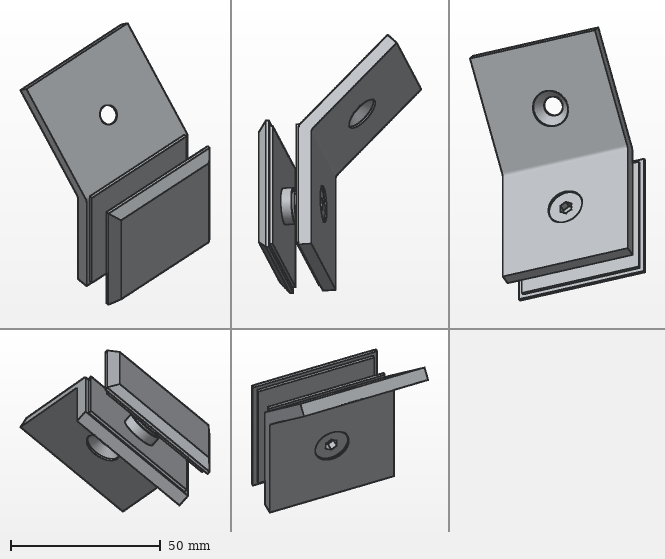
import cadquery as cq
import math


overall_height = 72.7
plate_size = 45.0
glass_gap = 8.0

bracket_thickness = 4.35
bracket_bottom_lift = 0.15
flap_length = 42.8
flap_angle = 45.0
bend_radius = 2.0
flap_hole_from_tip = plate_size / 2

cover_thickness = 4.0
cover_rim_thickness = 1.0
boss_diameter = 10.5

gasket_size = 42.0
gasket_thickness = 1.0
sleeve_diameter = 12.2
sleeve_gap = 1.0

head_diameter = 12.15
countersink_lip = 0.8
head_recess = 0.6
clearance_diameter = 6.5
screw_diameter = 5.95
hex_across_flats = 4.0
hex_depth = 2.9

lean = math.radians(flap_angle)
bracket_back = -bracket_thickness
bracket_bottom = bracket_bottom_lift - plate_size / 2
bend_height = overall_height - plate_size / 2 - flap_length * math.cos(lean)
inner_bend_height = bend_height - bracket_thickness * math.tan(lean / 2)
sleeve_length = (glass_gap - sleeve_gap) / 2
cover_face = 2 * gasket_thickness + glass_gap
cover_bevel = cover_thickness - cover_rim_thickness
cone_depth = (head_diameter - clearance_diameter) / 2

flap_x, flap_z = -math.sin(lean), math.cos(lean)
normal_x, normal_z = -math.cos(lean), -math.sin(lean)


def rod(diameter, start_x, length):
    """Cylinder on the X axis."""
    return cq.Workplane("YZ", origin=(start_x, 0, 0)).circle(diameter / 2).extrude(length)


def countersunk_hole(mouth, inward):
    """Cutter through one bracket wall: lip, cone and clearance hole, starting at the mouth centre."""
    mouth_radius = head_diameter / 2
    hole_radius = clearance_diameter / 2
    cone_end = countersink_lip + cone_depth
    profile = [
        (0, 0),
        (mouth_radius, 0),
        (mouth_radius, countersink_lip),
        (hole_radius, cone_end),
        (hole_radius, bracket_thickness),
        (0, bracket_thickness),
    ]
    across = cq.Vector(0, 1, 0)
    side_plane = cq.Plane(origin=mouth, xDir=across, normal=across.cross(cq.Vector(inward)))
    return cq.Workplane(side_plane).polyline(profile).close().revolve(360, (0, 0, 0), (0, 1, 0))


def make_bracket():
    tip_x = flap_length * flap_x
    tip_z = bend_height + flap_length * flap_z
    outline = [
        (0, bracket_bottom),
        (0, bend_height),
        (tip_x, tip_z),
        (tip_x + bracket_thickness * normal_x, tip_z + bracket_thickness * normal_z),
        (bracket_back, inner_bend_height),
        (bracket_back, bracket_bottom),
    ]
    bracket = cq.Workplane("XZ").polyline(outline).close().extrude(plate_size / 2, both=True)
    for corner in ((0, 0, bend_height), (bracket_back, 0, inner_bend_height)):
        bend_edge = cq.selectors.NearestToPointSelector(corner)
        bracket = bracket.edges(bend_edge).fillet(bend_radius)

    leg_hole = countersunk_hole((bracket_back, 0, 0), (1, 0, 0))
    flap_mouth = (
        tip_x - flap_hole_from_tip * flap_x + bracket_thickness * normal_x,
        0,
        tip_z - flap_hole_from_tip * flap_z + bracket_thickness * normal_z,
    )
    flap_hole = countersunk_hole(flap_mouth, (-normal_x, 0, -normal_z))
    return bracket.cut(leg_hole).cut(flap_hole)


def make_cover():
    """Bevelled square plate with a bored boss that reaches through both gaskets to the bracket."""
    plate = cq.Workplane("YZ", origin=(cover_face, 0, 0)).rect(plate_size, plate_size).extrude(cover_thickness)
    plate = plate.faces(">X").chamfer(cover_bevel)
    boss = rod(boss_diameter, 0, cover_face)
    bore = rod(screw_diameter, 0, cover_face)
    return plate.union(boss).cut(bore)


def make_gasket(outer_x, side):
    """Square pad with a sleeve; outer_x is its outer face and side (+1 or -1) points to the glass."""
    pad = cq.Workplane("YZ", origin=(outer_x, 0, 0)).rect(gasket_size, gasket_size)
    pad = pad.extrude(side * gasket_thickness)
    reach = side * (gasket_thickness + sleeve_length)
    return pad.union(rod(sleeve_diameter, outer_x, reach)).cut(rod(boss_diameter, outer_x, reach))


def make_screw():
    """Countersunk screw with a hexagon socket, ending level with the cover plate."""
    head_top = bracket_back + head_recess
    cone_start = bracket_back + countersink_lip
    cone_end = cone_start + cone_depth
    profile = [
        (head_top, 0),
        (head_top, head_diameter / 2),
        (cone_start, head_diameter / 2),
        (cone_end, clearance_diameter / 2),
        (cone_end, screw_diameter / 2),
        (cover_face, screw_diameter / 2),
        (cover_face, 0),
    ]
    screw = cq.Workplane("XZ").polyline(profile).close().revolve(360, (0, 0, 0), (1, 0, 0))
    hex_across_corners = hex_across_flats / math.cos(math.radians(30))
    socket = cq.Workplane("YZ", origin=(head_top, 0, 0)).polygon(6, hex_across_corners).extrude(hex_depth)
    socket = socket.rotate((0, 0, 0), (1, 0, 0), 90)
    return screw.cut(socket)


bracket = make_bracket()
cover = make_cover()
gaskets = [make_gasket(outer_x, side) for outer_x, side in ((0, 1), (cover_face, -1))]
screw = make_screw()

result = cq.Compound.makeCompound([
    bracket.val(),
    cover.val(),
    *[gasket.val() for gasket in gaskets],
    screw.val(),
])